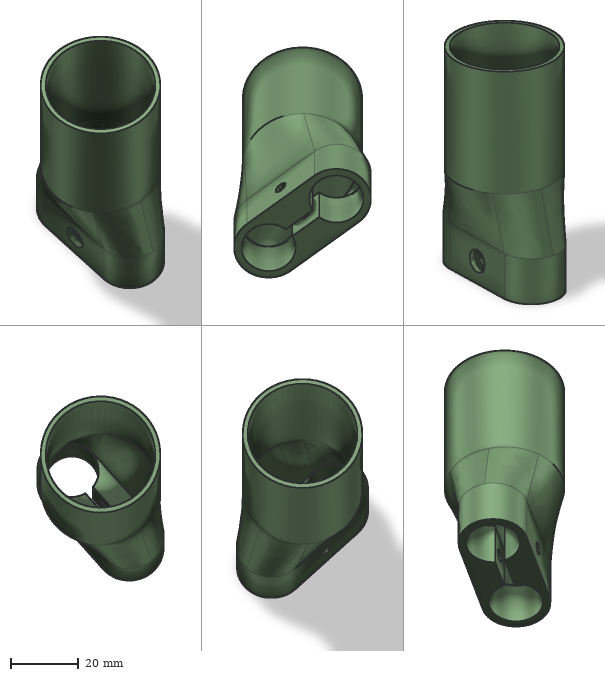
import cadquery as cq
import math

tube_diameter = 35.5
tube_bore = 32.5
tube_height = 40.0

transition_height = 20.0
transition_wall = 2.0

base_length = 46.5
base_width = 20.5
base_height = 15.0
socket_diameter = 16.0
gap_width = 3.0

screw_diameter = 3.75
screw_head_diameter = 7.2
screw_head_depth = 2.0

socket_spacing = base_length - base_width
cavity_length = base_length - 2 * transition_wall
cavity_width = base_width - 2 * transition_wall
tube_bottom = base_height + transition_height
screw_height = base_height / 2


def stadium_outline(length, width):
    """Stadium on the base top, drawn counterclockwise from its +X tip."""
    radius = width / 2
    tip = length / 2
    centre = tip - radius
    diagonal = radius * math.sqrt(0.5)
    return (
        cq.Workplane("XY", origin=(0, 0, base_height))
        .moveTo(tip, 0)
        .threePointArc((centre + diagonal, diagonal), (centre, radius))
        .lineTo(-centre, radius)
        .threePointArc((-centre - diagonal, diagonal), (-tip, 0))
        .threePointArc((-centre - diagonal, -diagonal), (-centre, -radius))
        .lineTo(centre, -radius)
        .threePointArc((centre + diagonal, -diagonal), (tip, 0))
        .close()
        .val()
    )


def split_circle(diameter, end_angle):
    """Circle at the tube bottom, split where the stadium's arcs meet its flats."""
    radius = diameter / 2

    def point(angle):
        return (radius * math.cos(angle), radius * math.sin(angle))

    return (
        cq.Workplane("XY", origin=(0, 0, tube_bottom))
        .moveTo(radius, 0)
        .threePointArc(point(end_angle / 2), point(end_angle))
        .threePointArc(point(math.pi / 2), point(math.pi - end_angle))
        .threePointArc(point(math.pi - end_angle / 2), point(math.pi))
        .threePointArc(point(math.pi + end_angle / 2), point(math.pi + end_angle))
        .threePointArc(point(-math.pi / 2), point(-end_angle))
        .threePointArc(point(-end_angle / 2), point(0))
        .close()
        .val()
    )


def stadium_to_round(length, width, diameter):
    """Loft from a stadium to a circle, matching equal shares of their perimeters."""
    flat = length - width
    perimeter = 2 * flat + math.pi * width
    end_angle = math.pi / 2 - math.pi * flat / perimeter
    outlines = [stadium_outline(length, width), split_circle(diameter, end_angle)]
    return cq.Workplane(cq.Solid.makeLoft(outlines))


def cylinder(diameter, bottom, height):
    """Vertical cylinder centred on the tube axis."""
    return cq.Workplane("XY", origin=(0, 0, bottom)).circle(diameter / 2).extrude(height)


def outer_body():
    """Solid base, transition and tube, before hollowing."""
    base = cq.Workplane("XY").slot2D(base_length, base_width).extrude(base_height)
    transition = stadium_to_round(base_length, base_width, tube_diameter)
    tube = cylinder(tube_diameter, tube_bottom, tube_height)
    return base.union(transition).union(tube)


def inner_passage():
    """Two sockets and their gap in the base, opening into the tube bore."""
    sockets = (
        cq.Workplane("XY")
        .pushPoints([(-socket_spacing / 2, 0), (socket_spacing / 2, 0)])
        .circle(socket_diameter / 2)
        .extrude(base_height)
    )
    gap = cq.Workplane("XY").rect(socket_spacing, gap_width).extrude(base_height)
    transition = stadium_to_round(cavity_length, cavity_width, tube_bore)
    bore = cylinder(tube_bore, tube_bottom, tube_height)
    return sockets.union(gap).union(transition).union(bore)


def screw_hole():
    """Through hole along Y with the head recess on the -Y face."""
    front_face = cq.Workplane("XZ", origin=(0, -base_width / 2, screw_height))
    shank = front_face.circle(screw_diameter / 2).extrude(-base_width)
    head = front_face.circle(screw_head_diameter / 2).extrude(-screw_head_depth)
    return shank.union(head)


result = outer_body().cut(inner_passage()).cut(screw_hole())